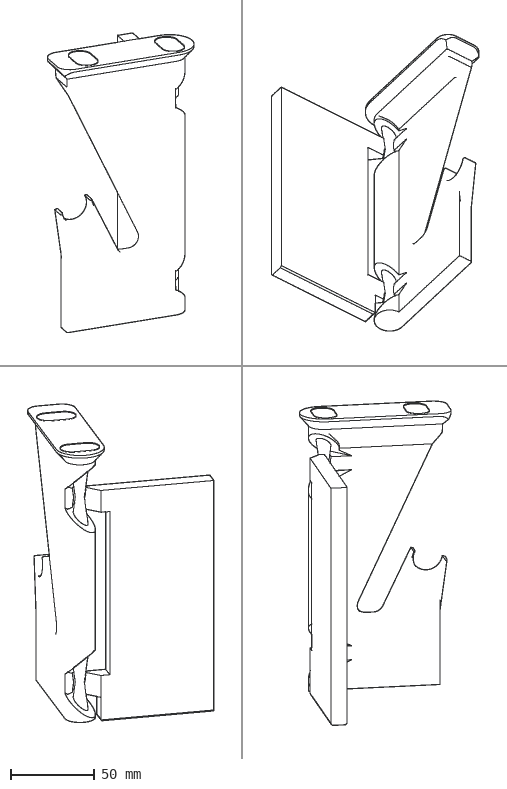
import cadquery as cq
import math


total_height = 173.2
barrel_radius = 9.4

head_radius = 14.7
head_front = -76.5
head_lip = 1.7
head_height = 8.0
head_corner_radius = 8.3
recess_width = 14.0
recess_straight = 10.0
recess_depth = 0.5
front_recess_y = -56.7

flare = head_radius - barrel_radius
bracket_front = head_front + flare
neck_top = total_height - head_height
neck_bottom = 159.9
neck_round = 10.0
edge_round = 1.0
bend = edge_round * (1 - math.sqrt(0.5))

slot_floor = 45.0
slot_round = 13.0 / 2
slot_back_y = -17.0
slot_front_y = -35.9
hook_radius = 9.5
hook_center = (-64.5, 79.3)
inner_tip = (-54.7, 84.4)
outer_tip = (-75.7, 77.8)
hook_blank_top = 88.4
lead_in_bottom = 45.2
clear_y = -104.0
tolerance = 0.02

hinge_levels = (22.5, 141.2)
pin_waist_radius = 2.8
pin_slope = 0.13
pin_half_length = 21.7
gap_direction = 34.0
gap_slope = 0.89
gap_axis_height = 12.8
gap_reach = 43.3
web_half_height = 4.3
web_slope = 0.37
web_length = 31.2
web_clearance = 1.0

leaf_left = -80.7
leaf_front = 0.3
leaf_thickness = 10.0
leaf_back = leaf_front + leaf_thickness
arm_height = 14.0
arm_root = -16.0
leaf_foot_right = -leaf_back
leaf_chamfer = 1.0
arm_clearance = 0.5


def hourglass(level, clearance):
    """Double cone around the hinge axis, narrowest at the given level."""
    waist = pin_waist_radius + clearance
    end = waist + pin_slope * pin_half_length
    outline = [
        (0, level - pin_half_length),
        (end, level - pin_half_length),
        (waist, level),
        (end, level + pin_half_length),
        (0, level + pin_half_length),
    ]
    return cq.Workplane("XZ").polyline(outline).close().revolve(360, (0, 0), (0, 1))


def barrel():
    return cq.Workplane("XY").circle(barrel_radius).extrude(neck_top)


def head():
    """Plate with a rounded back end, flaring out at its underside up to a thin lip."""
    flare_height = head_height - head_lip
    lip_bottom = total_height - head_lip
    back_cone = cq.Workplane("XY").add(
        cq.Solid.makeCone(barrel_radius, head_radius, flare_height, cq.Vector(0, 0, neck_top))
    )
    flared = (
        cq.Workplane("XY", origin=(0, bracket_front / 2, neck_top))
        .rect(2 * barrel_radius, -bracket_front)
        .workplane(offset=flare_height)
        .center(0, (head_front - bracket_front) / 2)
        .rect(2 * head_radius, -head_front)
        .loft(ruled=True)
    )
    lip = (
        cq.Workplane("XY", origin=(0, 0, lip_bottom))
        .moveTo(-head_radius, 0)
        .lineTo(-head_radius, head_front)
        .lineTo(head_radius, head_front)
        .lineTo(head_radius, 0)
        .threePointArc((0, head_radius), (-head_radius, 0))
        .close()
        .extrude(head_lip)
    )
    corner_envelope = (
        cq.Workplane("XY", origin=(0, (head_front + head_radius) / 2, neck_top))
        .rect(2 * head_radius, head_radius - head_front)
        .extrude(head_height)
        .edges("|Z and <Y")
        .fillet(head_corner_radius)
    )
    recesses = (
        cq.Workplane("XY", origin=(0, 0, total_height))
        .pushPoints([(0, 0), (0, front_recess_y)])
        .slot2D(recess_straight + recess_width, recess_width)
        .extrude(-recess_depth)
    )
    return flared.union(back_cone).union(lip).intersect(corner_envelope).cut(recesses)


def neck():
    """Beam under the head; its underside slopes at 45 degrees into the bracket plate."""
    outline = [
        (0, neck_bottom - barrel_radius),
        (-barrel_radius, neck_bottom),
        (-barrel_radius, neck_top),
        (barrel_radius, neck_top),
        (barrel_radius, neck_bottom - barrel_radius),
    ]
    beam = cq.Workplane("XZ").polyline(outline).close().extrude(-bracket_front)
    round_edge = cq.selectors.NearestToPointSelector((-barrel_radius, bracket_front / 2, neck_bottom))
    return beam.edges(round_edge).fillet(neck_round)


def plane_at(x):
    return cq.Workplane("YZ", origin=(x, 0, 0))


def toward(start, end, height):
    """Point at the given height on the line through two (y, z) points."""
    share = (height - start[1]) / (end[1] - start[1])
    return (start[0] + share * (end[0] - start[0]), height)


def slot():
    """Slanted slot with rounded floor corners, open to the front above the hook."""
    floor_back = (slot_back_y, slot_floor)
    floor_front = (slot_front_y, slot_floor)
    outline = [
        (bracket_front, neck_bottom),
        floor_back,
        floor_front,
        toward(floor_front, inner_tip, hook_blank_top),
        (clear_y, hook_blank_top),
        (clear_y, neck_bottom),
    ]
    cutter = plane_at(-barrel_radius).polyline(outline).close().extrude(2 * barrel_radius)
    for y in (slot_back_y, slot_front_y):
        corner = cq.selectors.NearestToPointSelector((0, y, slot_floor))
        cutter = cutter.edges(corner).fillet(slot_round)
    return cutter


def hook_seat():
    """Round seat cutter that widens at both faces of the plate, leaving rounded rims."""
    rim = hook_radius + edge_round
    outline = (
        cq.Workplane("XY")
        .moveTo(0, 0)
        .lineTo(0, rim)
        .threePointArc((bend, hook_radius + bend), (edge_round, hook_radius))
        .lineTo(barrel_radius - edge_round, hook_radius)
        .threePointArc((barrel_radius - bend, hook_radius + bend), (barrel_radius, rim))
        .lineTo(barrel_radius, 0)
        .close()
    )
    return outline.revolve(360, (0, 0), (1, 0)).translate((0, *hook_center))


def hook_tip_trim():
    """Cutter above the line through both hook tips, leaving the tips rounded across the plate."""
    run = inner_tip[0] - outer_tip[0]
    tilt = math.degrees(math.atan2(inner_tip[1] - outer_tip[1], run))
    half = barrel_radius / 2
    trim_height = 2 * hook_radius
    outline = (
        cq.Workplane("XZ")
        .moveTo(-half, -edge_round)
        .threePointArc((-half + bend, -bend), (-half + edge_round, 0))
        .lineTo(half - edge_round, 0)
        .threePointArc((half - bend, -bend), (half, -edge_round))
        .lineTo(half, trim_height)
        .lineTo(-half, trim_height)
        .close()
    )
    trim = outline.extrude(run, both=True).rotate((0, 0, 0), (1, 0, 0), tilt)
    middle = ((inner_tip[0] + outer_tip[0]) / 2, (inner_tip[1] + outer_tip[1]) / 2)
    return trim.translate((half, *middle))


def bracket_plate():
    """Plate and neck with the slot and the hook; the outline edges at the front are rounded."""
    outline = [
        (0, 0),
        (bracket_front, 0),
        (bracket_front, lead_in_bottom),
        toward((bracket_front, lead_in_bottom), outer_tip, hook_blank_top),
        (bracket_front, neck_bottom),
        (bracket_front, neck_top),
        (0, neck_top),
    ]
    slot_cutter = slot()
    blank = plane_at(0).polyline(outline).close().extrude(barrel_radius).union(neck()).cut(slot_cutter)

    def is_rounded(edge):
        """True for the edges of the slot, the lead-in and the front face that get a rounding."""
        middle = edge.Center()
        on_right = abs(middle.x - barrel_radius) < tolerance
        across = abs(edge.startPoint().x - edge.endPoint().x) > barrel_radius - tolerance
        on_slot = slot_cutter.val().distance(cq.Vertex.makeVertex(*middle.toTuple())) < tolerance
        at_front = middle.y < bracket_front + tolerance
        if across or abs(middle.z - hook_blank_top) < tolerance:
            return False
        if middle.z < lead_in_bottom and at_front:
            return on_right and middle.z > tolerance
        if middle.z > neck_bottom:
            return at_front and not on_right and middle.z < neck_top - tolerance
        return on_slot or at_front

    front_edges = [edge for edge in blank.edges().vals() if is_rounded(edge)]
    blank = blank.newObject(front_edges).fillet(edge_round)
    return blank.cut(hook_seat()).cut(hook_tip_trim())


def hinge_gap(level):
    """Slanted wedge through the barrel and into the plate, leaving a web beside the pin."""
    tip = -gap_axis_height / gap_slope
    rise = gap_slope * (gap_reach - tip)
    wedge = (
        cq.Workplane("XZ")
        .polyline([(tip, 0), (gap_reach, rise), (gap_reach, -rise)])
        .close()
        .extrude(gap_reach, both=True)
        .rotate((0, 0, 0), (0, 0, 1), 180 - gap_direction)
    )
    web_outer_half_height = web_half_height + web_slope * barrel_radius
    web = (
        cq.Workplane("XZ")
        .polyline([
            (0, web_half_height),
            (barrel_radius, web_outer_half_height),
            (barrel_radius, -web_outer_half_height),
            (0, -web_half_height),
        ])
        .close()
        .extrude(web_length)
    )
    gap = wedge.cut(web).translate((0, 0, level))
    return gap.union(hourglass(level, web_clearance).intersect(web.translate((0, 0, level))))


def make_bracket():
    body = bracket_plate().union(barrel()).union(head())
    for level in hinge_levels:
        body = body.cut(hinge_gap(level)).union(hourglass(level, 0))
    return body


def make_leaf():
    """Flat leaf with two arms that hold the pins from behind; the arm ends are bevelled at 45 degrees."""
    low, high = hinge_levels
    half_arm = arm_height / 2
    outline = [
        (leaf_left, 0),
        (leaf_foot_right, 0),
        (leaf_foot_right, low - half_arm),
        (0, low - half_arm),
        (0, low + half_arm),
        (arm_root, low + half_arm),
        (arm_root, high - half_arm),
        (0, high - half_arm),
        (0, high + half_arm),
        (leaf_left, high + half_arm),
    ]
    leaf = (
        cq.Workplane("XZ", origin=(0, leaf_front, 0))
        .polyline(outline)
        .close()
        .extrude(-leaf_thickness)
        .faces("<Z")
        .edges("not <X")
        .chamfer(leaf_chamfer)
    )
    bevel = (
        cq.Workplane("XY")
        .polyline([(0, 0), (-leaf_back, leaf_back), (0, leaf_back)])
        .close()
        .extrude(total_height)
    )
    leaf = leaf.cut(bevel)
    for level in hinge_levels:
        leaf = leaf.cut(hourglass(level, arm_clearance))
    return leaf


bracket = make_bracket()
leaf = make_leaf()
result = cq.Compound.makeCompound([bracket.val(), leaf.val()])